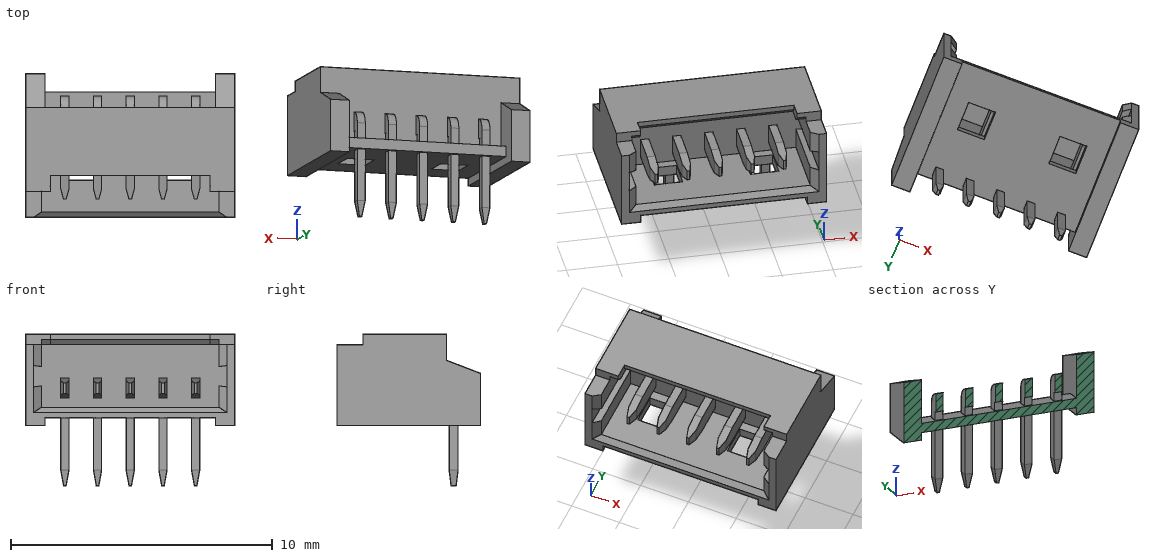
import cadquery as cq


width = 8.0
depth = 5.5
height = 3.5
foot_width = 0.75
foot_height = 0.3
top_rear_y = 4.2
shelf_rear_y = 4.8
shelf_top_z = 0.7
arm_rear_z = 2.0
arm_front_z = 2.5

cavity_width = 6.8
cavity_floor_z = 0.7
cavity_top_z = 3.1
cavity_depth = 2.95
lead_in_depth = 0.2
lead_in_side = 0.3
lead_in_rise = 0.2
front_step_depth = 1.0
notch_width = 6.1
notch_depth = 1.6

groove_bottom_z = 1.48
groove_top_z = 2.3
groove_draft = 0.04

window_length = 1.1
window_front_y = 1.43
window_rear_y = 2.6

pin_count = 5
pitch = 1.25
pin_thickness = 0.32
blade_bottom_z = 1.05
blade_top_z = 1.82
blade_tip_y = 0.7
blade_tip_height = 0.4
blade_slope_length = 1.0
blade_side_taper_length = 0.4
tip_thickness = 0.1
tail_rear_y = 4.64
tail_depth = 0.35
tail_tip_depth = 0.2
tail_end_z = -2.3
tail_taper_length = 0.6
bend_radius = 0.5

pin_xs = [(i - (pin_count - 1) / 2) * pitch for i in range(pin_count)]
cavity_half = cavity_width / 2


def block(x_size, y_min, y_max, z_min, z_max, x_center=0.0):
    """Axis-aligned box centred on x_center."""
    box = cq.Workplane("XY").box(x_size, y_max - y_min, z_max - z_min, centered=(True, False, False))
    return box.translate((x_center, y_min, z_min))


def extrude_profile(yz_points, x_size):
    """Closed Y-Z outline extruded symmetrically about X = 0."""
    return cq.Workplane("YZ").polyline(yz_points).close().extrude(x_size / 2, both=True)


def make_shell():
    """Side profile with the middle cleared behind the top wall and under the floor."""
    shell = extrude_profile(
        [
            (0, 0),
            (depth, 0),
            (depth, arm_rear_z),
            (top_rear_y, arm_front_z),
            (top_rear_y, height),
            (front_step_depth, height),
            (front_step_depth, cavity_top_z),
            (0, cavity_top_z),
        ],
        width,
    )
    middle_width = width - 2 * foot_width
    shell = shell.cut(block(middle_width, 0, depth, 0, foot_height))
    shell = shell.cut(block(middle_width, top_rear_y, depth, shelf_top_z, height))
    return shell.cut(block(middle_width, shelf_rear_y, depth, 0, height))


def make_lead_in():
    """Flare at the cavity mouth, widening toward the front on both sides and the floor."""
    mouth_width = cavity_width + 2 * lead_in_side
    mouth_height = cavity_top_z - cavity_floor_z + lead_in_rise
    throat_height = cavity_top_z - cavity_floor_z
    return (
        cq.Workplane("XZ", origin=(0, 0, cavity_top_z))
        .center(0, -mouth_height / 2)
        .rect(mouth_width, mouth_height)
        .workplane(offset=-lead_in_depth)
        .center(0, (mouth_height - throat_height) / 2)
        .rect(cavity_width, throat_height)
        .loft(ruled=True)
    )


def make_ceiling_bevel(front_y, x_size):
    """Wedge that bevels the lower front edge of the top wall."""
    return extrude_profile(
        [
            (front_y, cavity_top_z),
            (front_y + lead_in_depth, cavity_top_z),
            (front_y, cavity_top_z + lead_in_rise),
        ],
        x_size,
    )


def make_grooves():
    """Guide grooves of both side walls, cut as one profile across the cavity."""
    groove_half = cavity_half + lead_in_side
    return (
        cq.Workplane("XZ")
        .polyline(
            [
                (-groove_half, groove_bottom_z),
                (-cavity_half, groove_bottom_z + groove_draft),
                (cavity_half, groove_bottom_z + groove_draft),
                (groove_half, groove_bottom_z),
                (groove_half, groove_top_z),
                (cavity_half, groove_top_z - groove_draft),
                (-cavity_half, groove_top_z - groove_draft),
                (-groove_half, groove_top_z),
            ]
        )
        .close()
        .extrude(-cavity_depth)
    )


def make_housing():
    housing = make_shell()
    housing = housing.cut(block(cavity_width, 0, cavity_depth, cavity_floor_z, cavity_top_z))
    housing = housing.cut(make_lead_in())
    housing = housing.cut(block(notch_width, 0, notch_depth, cavity_top_z, height))
    housing = housing.cut(make_ceiling_bevel(front_step_depth, cavity_width))
    housing = housing.cut(make_ceiling_bevel(notch_depth, notch_width))
    housing = housing.cut(make_grooves())
    window_x = (pin_xs[0] + pin_xs[1]) / 2
    for x in (-window_x, window_x):
        window = block(window_length, window_front_y, window_rear_y, 0, cavity_floor_z, x)
        housing = housing.cut(window)
    return housing


def make_pin():
    """Right-angle pin at X = 0: its side outline trimmed by a tapered outline at each end."""
    blade_mid_z = (blade_bottom_z + blade_top_z) / 2
    tail_front_y = tail_rear_y - tail_depth
    tail_mid_y = (tail_rear_y + tail_front_y) / 2
    tail_taper_z = tail_end_z + tail_taper_length
    slope_start_y = blade_tip_y + blade_slope_length
    side = (
        cq.Workplane("YZ")
        .moveTo(blade_tip_y, blade_mid_z - blade_tip_height / 2)
        .lineTo(blade_tip_y, blade_mid_z + blade_tip_height / 2)
        .lineTo(slope_start_y, blade_top_z)
        .lineTo(tail_rear_y - bend_radius, blade_top_z)
        .radiusArc((tail_rear_y, blade_top_z - bend_radius), bend_radius)
        .lineTo(tail_rear_y, tail_taper_z)
        .lineTo(tail_mid_y + tail_tip_depth / 2, tail_end_z)
        .lineTo(tail_mid_y - tail_tip_depth / 2, tail_end_z)
        .lineTo(tail_front_y, tail_taper_z)
        .lineTo(tail_front_y, blade_bottom_z)
        .lineTo(slope_start_y, blade_bottom_z)
        .close()
        .extrude(pin_thickness / 2, both=True)
    )
    half = pin_thickness / 2
    tip_half = tip_thickness / 2
    blade_taper_y = blade_tip_y + blade_side_taper_length
    blade_outline = (
        cq.Workplane("XY", origin=(0, 0, tail_end_z))
        .polyline(
            [
                (-tip_half, blade_tip_y),
                (tip_half, blade_tip_y),
                (half, blade_taper_y),
                (half, tail_rear_y),
                (-half, tail_rear_y),
                (-half, blade_taper_y),
            ]
        )
        .close()
        .extrude(blade_top_z - tail_end_z)
    )
    tail_outline = (
        cq.Workplane("XZ")
        .polyline(
            [
                (-tip_half, tail_end_z),
                (tip_half, tail_end_z),
                (half, tail_taper_z),
                (half, blade_top_z),
                (-half, blade_top_z),
                (-half, tail_taper_z),
            ]
        )
        .close()
        .extrude(-tail_rear_y)
    )
    return side.intersect(blade_outline).intersect(tail_outline)


result = make_housing()
pin = make_pin()
for pin_x in pin_xs:
    result = result.union(pin.translate((pin_x, 0, 0)))